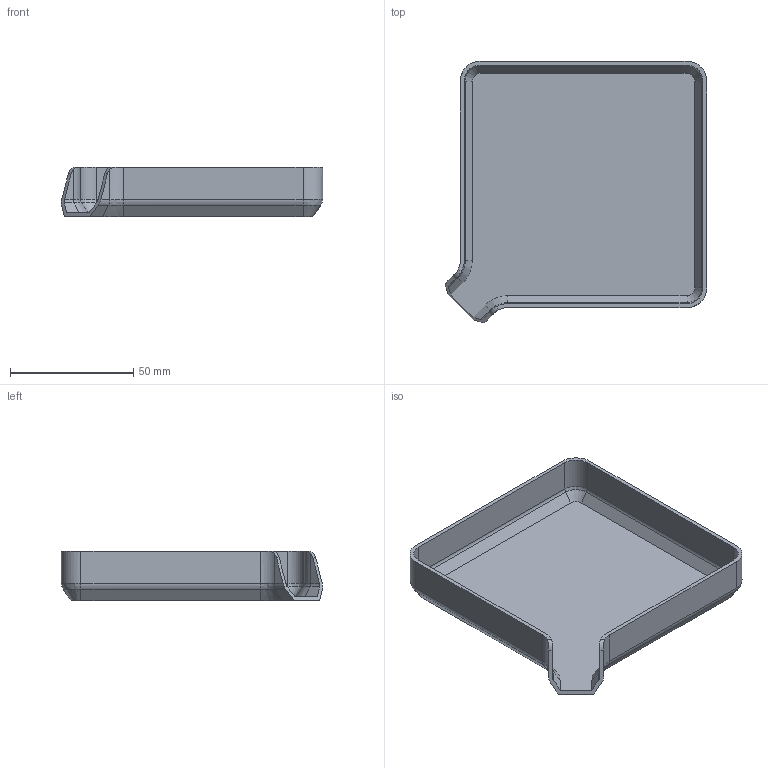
import math

import cadquery as cq

side = 100.0
height = 20.0
wall = 1.6
corner_radius = 8.0

spout_width = 22.5
spout_blend_radius = 8.0
spout_direction = 225.0
spout_blank_reach = 10.0

bevel_inset = 4.0
bevel_angle = math.radians(35.0)
bevel_radius = 4.0
bevel_height = bevel_inset / math.tan(bevel_angle)

mouth_offset = -0.31
mouth_lean = math.radians(20.0)
mouth_round_radius = 4.0

edge_tolerance = 0.01


def spout_blank(width, blank_height):
    """Diagonal bar from the tray centre to beyond the spout mouth."""
    length = side / math.sqrt(2) + spout_blank_reach
    bar = cq.Workplane("XY").box(length, width, blank_height, centered=(False, True, False))
    return bar.rotate((0, 0, 0), (0, 0, 1), spout_direction)


def tray_body(inset):
    """Solid tray with a spout, its walls and floor moved inwards by inset."""
    half_side = side / 2 - inset
    half_width = spout_width / 2 - inset
    body_height = height - inset

    body = cq.Workplane("XY").rect(2 * half_side, 2 * half_side).extrude(body_height)
    rounded_corners = body.edges("|Z").edges(">(1,1,0) or >(1,-1,0) or >(-1,1,0)")
    body = rounded_corners.fillet(corner_radius - inset)
    body = body.union(spout_blank(2 * half_width, body_height))

    junction = half_width * math.sqrt(2) - half_side
    for x, y in ((junction, -half_side), (-half_side, junction)):
        corner = cq.selectors.NearestToPointSelector((x, y, body_height / 2))
        body = body.edges("|Z").edges(corner).fillet(spout_blend_radius + inset)

    rise = bevel_height + inset * math.tan(bevel_angle / 2) - inset
    body = body.faces("<Z").chamfer(rise * math.tan(bevel_angle), rise)

    bevel_top_edges = cq.selectors.BoxSelector(
        (-side, -side, rise - edge_tolerance),
        (side, side, rise + edge_tolerance),
    )
    body = body.edges(bevel_top_edges).fillet(bevel_radius - inset)
    return body.translate((0, 0, inset))


def mouth_cutter():
    """Everything beyond the leaning mouth plane and its rounded rim."""
    rim = mouth_offset - height * math.tan(mouth_lean)
    tangent = mouth_round_radius * math.tan((math.pi / 2 - mouth_lean) / 2)
    round_start = (rim + tangent * math.sin(mouth_lean), height - tangent * math.cos(mouth_lean))
    round_end = (rim - tangent, height)
    beyond_blank = 2 * spout_blank_reach

    spout_section = cq.Plane(origin=(-side / 2, -side / 2, 0), xDir=(-1, -1, 0), normal=(-1, 1, 0))
    return (
        cq.Workplane(spout_section)
        .moveTo(mouth_offset, 0)
        .lineTo(*round_start)
        .radiusArc(round_end, -mouth_round_radius)
        .lineTo(beyond_blank, height)
        .lineTo(beyond_blank, 0)
        .close()
        .extrude(spout_width, both=True)
    )


outer_body = tray_body(0)
cavity = tray_body(wall)
result = outer_body.cut(cavity).cut(mouth_cutter())